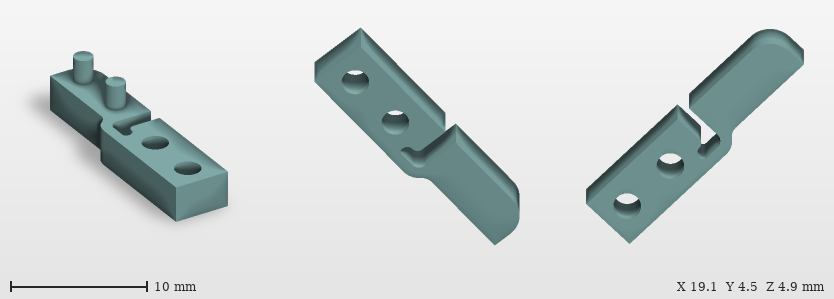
import cadquery as cq
import math

length = 19.12
width = 4.5
thickness = 2.9

arm_setback = 1.0
arm_corner_radius = 2.0

block_length = 9.5
slot_width = 1.2
slot_right = length - block_length
slot_left = slot_right - slot_width
web = 0.85

step_outer_radius = 1.5
step_inner_radius = 1.0
step_end = slot_left + step_outer_radius - web
slot_floor_radius = 0.7

lip_radius = 0.5
undercut_top_radius = 0.5
undercut_bottom_radius = 0.3
undercut_height = 0.9
undercut_end = slot_right + lip_radius + undercut_top_radius
undercut_top = web + undercut_height

pin_count = 2
hole_count = 2
pitch = 4.5
pin_diameter = 1.5
pin_height = 2.0
first_pin_x = 1.82
pin_y = (arm_setback + width) / 2
hole_diameter = 2.03
hole_end_distance = 2.0
last_hole_x = length - hole_end_distance
hole_y = width / 2


def arc_point(center, radius, degrees):
    """Point on a circle at the given angle from +X."""
    angle = math.radians(degrees)
    return (center[0] + radius * math.cos(angle), center[1] + radius * math.sin(angle))


def make_plate():
    """Extrude the outline, drawn counterclockwise from the lower left corner."""
    step_turn = math.degrees(math.acos(1 - arm_setback / (step_inner_radius + step_outer_radius)))
    step_run = (step_inner_radius + step_outer_radius) * math.sin(math.radians(step_turn))
    step_start = step_end - step_run

    inner_center = (step_start, arm_setback - step_inner_radius)
    outer_center = (step_end, step_outer_radius)
    floor_center = (slot_left + slot_floor_radius, web + slot_floor_radius)
    lip_center = (slot_right + lip_radius, undercut_top + lip_radius)
    undercut_top_center = (undercut_end - undercut_top_radius, undercut_top - undercut_top_radius)
    undercut_bottom_center = (undercut_end - undercut_bottom_radius, web + undercut_bottom_radius)
    corner_center = (arm_corner_radius, width - arm_corner_radius)

    outline = (
        cq.Workplane("XY")
        .moveTo(0, arm_setback)
        .lineTo(step_start, arm_setback)
        .threePointArc(
            arc_point(inner_center, step_inner_radius, 90 - step_turn / 2),
            arc_point(inner_center, step_inner_radius, 90 - step_turn),
        )
        .threePointArc(
            arc_point(outer_center, step_outer_radius, 270 - step_turn / 2),
            (step_end, 0),
        )
        .lineTo(length, 0)
        .lineTo(length, width)
        .lineTo(slot_right, width)
        .lineTo(slot_right, lip_center[1])
        .threePointArc(arc_point(lip_center, lip_radius, 225), (lip_center[0], undercut_top))
        .threePointArc(
            arc_point(undercut_top_center, undercut_top_radius, 45),
            (undercut_end, undercut_top_center[1]),
        )
        .lineTo(undercut_end, undercut_bottom_center[1])
        .threePointArc(
            arc_point(undercut_bottom_center, undercut_bottom_radius, 315),
            (undercut_bottom_center[0], web),
        )
        .lineTo(floor_center[0], web)
        .threePointArc(
            arc_point(floor_center, slot_floor_radius, 225),
            (slot_left, floor_center[1]),
        )
        .lineTo(slot_left, width)
        .lineTo(corner_center[0], width)
        .threePointArc(arc_point(corner_center, arm_corner_radius, 135), (0, corner_center[1]))
        .close()
    )
    return outline.extrude(thickness)


def make_pins():
    """Round pins that run through the arm and stand above its top face."""
    centers = [(first_pin_x + i * pitch, pin_y) for i in range(pin_count)]
    return (
        cq.Workplane("XY")
        .pushPoints(centers)
        .circle(pin_diameter / 2)
        .extrude(thickness + pin_height)
    )


def make_holes():
    """Cutting cylinders for the through holes in the block."""
    centers = [(last_hole_x - i * pitch, hole_y) for i in range(hole_count)]
    return cq.Workplane("XY").pushPoints(centers).circle(hole_diameter / 2).extrude(thickness)


result = make_plate().union(make_pins()).cut(make_holes())